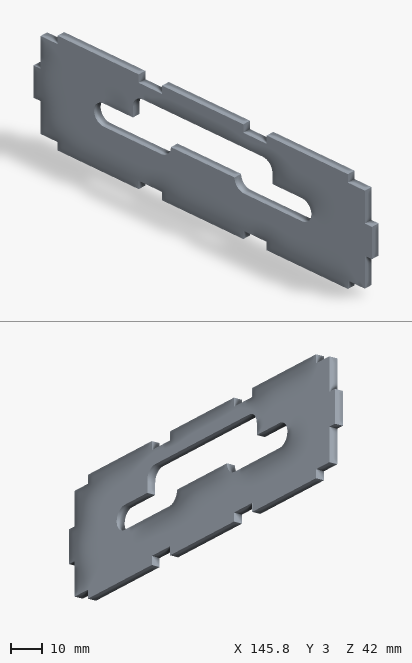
import cadquery as cq

overall_length = 145.8
overall_height = 42.0
thickness = 3.0
tab_depth = 3.0
body_length = overall_length - 2 * tab_depth
body_height = overall_height - 2 * tab_depth

long_edge_tab_length = 35.0
long_edge_tab_pitch = 45.0
end_tab_height = 11.8

slot_length = 93.6
slot_height = 8.5
window_length = 60.0
window_top = 12.5
slot_bottom = -slot_height / 2
tongue_length = 27.4
slot_end_radius = slot_height / 2
window_corner_radius = slot_end_radius


def plate_block(length, height):
    """Centred rectangular block of the plate thickness."""
    return cq.Workplane("XZ").rect(length, height).extrude(thickness / 2, both=True)


def tabbed_plate():
    plate = plate_block(body_length, body_height)
    plate = plate.union(plate_block(overall_length, end_tab_height))
    strip = plate_block(long_edge_tab_length, overall_height)
    for position in (-1, 0, 1):
        plate = plate.union(strip.translate((position * long_edge_tab_pitch, 0, 0)))
    return plate


def tongue():
    """Flat-topped tongue with concave quarter-round flanks, rising to mid-slot."""
    half_top = tongue_length / 2
    half_base = half_top + slot_end_radius
    return (
        cq.Workplane("XZ")
        .moveTo(-half_base, slot_bottom)
        .radiusArc((-half_top, 0), -slot_end_radius)
        .lineTo(half_top, 0)
        .radiusArc((half_base, slot_bottom), -slot_end_radius)
        .close()
        .extrude(thickness / 2, both=True)
    )


def cutout():
    slot = cq.Workplane("XZ").slot2D(slot_length, slot_height).extrude(thickness / 2, both=True)
    window = (
        plate_block(window_length, window_top)
        .translate((0, 0, window_top / 2))
        .edges("|Y and >Z")
        .fillet(window_corner_radius)
    )
    return slot.union(window).cut(tongue())


result = tabbed_plate().cut(cutout())